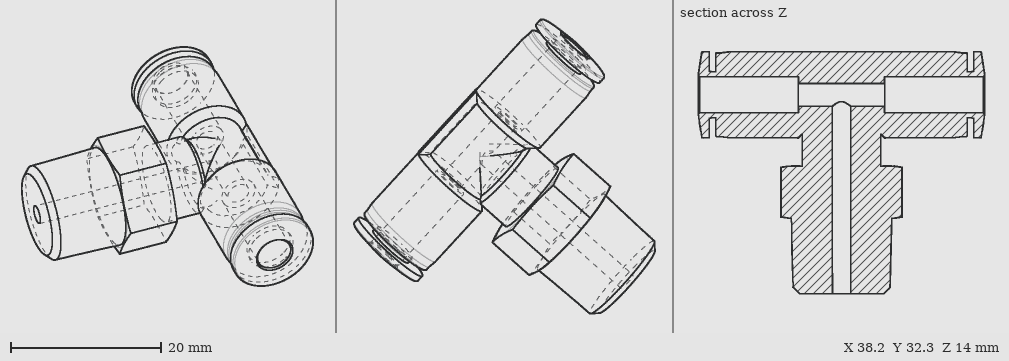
import cadquery as cq
import math

BODY_RADIUS = 11.5 / 2
WAIST_RADIUS = 9.3 / 2
SOCKET_INNER_X = BODY_RADIUS
COLLAR_RADIUS = 11.2 / 2
COLLAR_FILLET = 0.2
COLLAR_END_X = 16.75
COLLAR_TAPER_START_X = 16.05
COLLAR_TAPER_END_X = 14.95

WEB_THICKNESS = 1.8

RING_RADIUS = BODY_RADIUS
RING_BACK_X = 17.6
RING_RIM_X = 18.6
RING_TIP_X = 38.19 / 2
RING_EDGE_FILLET = 0.2
NECK_RADIUS = 6.16 / 2
NECK_FLARE_X = 17.23
NECK_FLARE = 0.1
TUBE_HOLE_RADIUS = 4.76 / 2
TUBE_HOLE_CHAMFER = 0.22
RUN_BORE_RADIUS = 3.0 / 2

STEM_RADIUS = 10.5 / 2
STEM_SHOULDER_Y = -4.68
HEX_SIDES = 6
HEX_ACROSS_FLATS = 14.0
HEX_TOP_Y = -9.45
HEX_LENGTH = 7.0
HEX_CHAMFER_ANGLE = 10.0
THREAD_RADIUS = 13.42 / 2
THREAD_TIP_RADIUS = 12.96 / 2
THREAD_END_RADIUS = 11.2 / 2
BRANCH_END_Y = BODY_RADIUS - 32.25
BRANCH_BORE_RADIUS = 2.4 / 2

mouth_radius = TUBE_HOLE_RADIUS + TUBE_HOLE_CHAMFER
hex_bottom_y = HEX_TOP_Y - HEX_LENGTH
thread_chamfer = THREAD_TIP_RADIUS - THREAD_END_RADIUS


def revolve_about_x(points):
    """Solid of revolution about X from (x, radius) points."""
    return cq.Workplane("XY").polyline(points).close().revolve(360, (0, 0), (1, 0))


def revolve_about_y(points):
    """Solid of revolution about Y from (radius, y) points."""
    return cq.Workplane("XY").polyline(points).close().revolve(360, (0, 0), (0, 1))


def make_socket():
    """Socket on the +X side, from the middle of the waist to the rounded collar."""
    waist_end_x = SOCKET_INNER_X - (BODY_RADIUS - WAIST_RADIUS)
    socket = revolve_about_x([
        (0, 0),
        (0, WAIST_RADIUS),
        (waist_end_x, WAIST_RADIUS),
        (SOCKET_INNER_X, BODY_RADIUS),
        (COLLAR_TAPER_END_X, BODY_RADIUS),
        (COLLAR_TAPER_START_X, COLLAR_RADIUS),
        (COLLAR_END_X, COLLAR_RADIUS),
        (COLLAR_END_X, 0),
    ])
    return socket.faces(">X").edges().fillet(COLLAR_FILLET)


def make_release_ring():
    """Neck and coned flange on the +X side, with a rounded flange edge."""
    ring = revolve_about_x([
        (COLLAR_END_X, 0),
        (COLLAR_END_X, NECK_RADIUS),
        (NECK_FLARE_X, NECK_RADIUS),
        (RING_BACK_X, NECK_RADIUS + NECK_FLARE),
        (RING_BACK_X, RING_RADIUS),
        (RING_RIM_X, RING_RADIUS),
        (RING_TIP_X, mouth_radius),
        (RING_TIP_X, 0),
    ])
    rim = cq.selectors.RadiusNthSelector(-1)
    flange_cone = ring.faces("%CONE").faces(">X")
    return flange_cone.edges(rim).fillet(RING_EDGE_FILLET)


def make_tube_hole():
    """Chamfered tube hole on the +X side, ending at the socket's inner end."""
    return revolve_about_x([
        (SOCKET_INNER_X, 0),
        (SOCKET_INNER_X, TUBE_HOLE_RADIUS),
        (RING_TIP_X - TUBE_HOLE_CHAMFER, TUBE_HOLE_RADIUS),
        (RING_TIP_X, mouth_radius),
        (RING_TIP_X, 0),
    ])


def make_web():
    """Plate between the sockets, level with their +Y side."""
    return cq.Workplane("XY").box(
        2 * SOCKET_INNER_X, BODY_RADIUS, WEB_THICKNESS, centered=(True, False, True)
    )


def make_stem():
    """Round branch, as wide as the waist at the axis and stepped up by a cone."""
    cone_top_y = STEM_SHOULDER_Y + STEM_RADIUS - WAIST_RADIUS
    return revolve_about_y([
        (0, 0),
        (WAIST_RADIUS, 0),
        (WAIST_RADIUS, cone_top_y),
        (STEM_RADIUS, STEM_SHOULDER_Y),
        (STEM_RADIUS, HEX_TOP_Y),
        (0, HEX_TOP_Y),
    ])


def make_hexagon():
    """Hexagon with corners along X, its corners chamfered at both ends."""
    flat_radius = HEX_ACROSS_FLATS / 2
    corner_radius = flat_radius / math.cos(math.pi / HEX_SIDES)
    corner_drop = (corner_radius - flat_radius) * math.tan(math.radians(HEX_CHAMFER_ANGLE))
    prism = (
        cq.Workplane("XZ", origin=(0, HEX_TOP_Y, 0))
        .polygon(HEX_SIDES, 2 * corner_radius)
        .extrude(HEX_LENGTH)
    )
    chamfer_envelope = revolve_about_y([
        (0, HEX_TOP_Y),
        (flat_radius, HEX_TOP_Y),
        (corner_radius, HEX_TOP_Y - corner_drop),
        (corner_radius, hex_bottom_y + corner_drop),
        (flat_radius, hex_bottom_y),
        (0, hex_bottom_y),
    ])
    return prism.intersect(chamfer_envelope)


def make_thread():
    """Plain tapered thread body with a 45 degree lead-in chamfer."""
    return revolve_about_y([
        (0, hex_bottom_y),
        (THREAD_RADIUS, hex_bottom_y),
        (THREAD_TIP_RADIUS, BRANCH_END_Y + thread_chamfer),
        (THREAD_END_RADIUS, BRANCH_END_Y),
        (0, BRANCH_END_Y),
    ])


def mirrored_pair(half):
    """The given +X feature together with its mirror image on the -X side."""
    return half.union(half.mirror("YZ"))


run = mirrored_pair(make_socket().union(make_release_ring()))
branch = make_stem().union(make_hexagon()).union(make_thread())
run_bore = cq.Workplane("YZ", origin=(-RING_TIP_X, 0, 0)).circle(RUN_BORE_RADIUS).extrude(2 * RING_TIP_X)
branch_bore = cq.Workplane("XZ").circle(BRANCH_BORE_RADIUS).extrude(-BRANCH_END_Y)

result = (
    run.union(make_web())
    .union(branch)
    .cut(mirrored_pair(make_tube_hole()))
    .cut(run_bore)
    .cut(branch_bore)
)